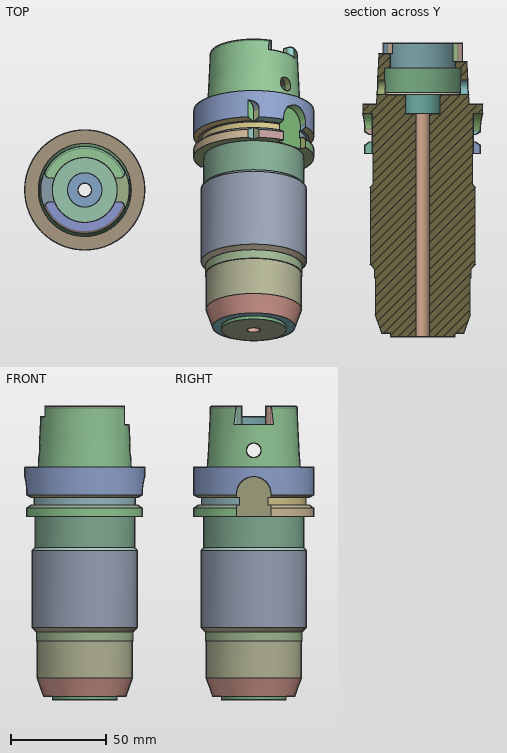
import cadquery as cq
import math


SHANK_LENGTH = 32.0
SHANK_BASE_RADIUS = 24.4
TAPER_PER_LENGTH = 0.05
SHANK_TOP_RADIUS = SHANK_BASE_RADIUS - TAPER_PER_LENGTH * SHANK_LENGTH
RIM_FILLET = 1.0

MOUTH_RADIUS = 17.0
MOUTH_DEPTH = 13.2
CLAMP_RADIUS = 20.0
CLAMP_FLOOR_Z = 5.0
CLAMP_FLOOR_CHAMFER = 1.0
COUNTERBORE_RADIUS = 9.0
COUNTERBORE_DEPTH = 10.0
THROUGH_HOLE_RADIUS = 3.5
CROSS_HOLE_RADIUS = 3.75
CROSS_HOLE_Z = 8.8

DRIVE_SLOT_WIDTH = 12.5
DRIVE_SLOT_CORNER_RADIUS = 2.5
TOOTH_END_X = 20.85
SHALLOW_SLOT_DEPTH = 5.6
DEEP_SLOT_DEPTH = 9.8

FLANGE_RADIUS = 31.5
FLANGE_BOTTOM_Z = -26.0
GROOVE_RADIUS = 27.5
GROOVE_SHOULDER_RADIUS = 29.0
GROOVE_TOP_Z = -16.0
GROOVE_TOP_FLARE = 1.4
GROOVE_BOTTOM_Z = -19.75
GROOVE_BOTTOM_FLARE = 1.8

KEYWAY_FLOOR = 26.5
NARROW_KEYWAY_WIDTH = 16.2
WIDE_KEYWAY_WIDTH = 18.0
KEYWAY_TOP_Z = -5.0

NOTCH_CORNER = 20.1
NOTCH_END_RADIUS = 4.8
NOTCH_TOP_Z = -5.2

BODY_BOTTOM_Z = -122.0
NECK_RADIUS = 26.25
NECK_BOTTOM_Z = -42.2
SLEEVE_RADIUS = 27.6
SLEEVE_TOP_Z = -43.6
SLEEVE_BOTTOM_Z = -84.1
COLLAR_RADIUS = 25.4
COLLAR_TOP_Z = -86.4
COLLAR_BOTTOM_Z = -91.1
NOSE_RADIUS = 25.0
NOSE_CONE_TOP_Z = -110.6
NOSE_END_RADIUS = 21.6
NOSE_END_Z = -120.2
END_BOSS_RADIUS = 17.0


def turned_body():
    """Revolve the outer outline of the holder about Z."""
    outline = [
        (0, BODY_BOTTOM_Z),
        (END_BOSS_RADIUS, BODY_BOTTOM_Z),
        (END_BOSS_RADIUS, NOSE_END_Z),
        (NOSE_END_RADIUS, NOSE_END_Z),
        (NOSE_RADIUS, NOSE_CONE_TOP_Z),
        (NOSE_RADIUS, COLLAR_BOTTOM_Z),
        (COLLAR_RADIUS, COLLAR_BOTTOM_Z),
        (COLLAR_RADIUS, COLLAR_TOP_Z),
        (SLEEVE_RADIUS, SLEEVE_BOTTOM_Z),
        (SLEEVE_RADIUS, SLEEVE_TOP_Z),
        (NECK_RADIUS, NECK_BOTTOM_Z),
        (NECK_RADIUS, FLANGE_BOTTOM_Z),
        (FLANGE_RADIUS, FLANGE_BOTTOM_Z),
        (FLANGE_RADIUS, GROOVE_BOTTOM_Z - GROOVE_BOTTOM_FLARE),
        (GROOVE_SHOULDER_RADIUS, GROOVE_BOTTOM_Z),
        (GROOVE_RADIUS, GROOVE_BOTTOM_Z),
        (GROOVE_RADIUS, GROOVE_TOP_Z),
        (GROOVE_SHOULDER_RADIUS, GROOVE_TOP_Z),
        (FLANGE_RADIUS, GROOVE_TOP_Z + GROOVE_TOP_FLARE),
        (FLANGE_RADIUS, 0),
        (SHANK_BASE_RADIUS, 0),
        (SHANK_TOP_RADIUS, SHANK_LENGTH),
        (0, SHANK_LENGTH),
    ]
    body = cq.Workplane("XZ").polyline(outline).close().revolve(360, (0, 0, 0), (0, 1, 0))
    return body.faces(">Z").edges().fillet(RIM_FILLET)


def cylinder(radius, bottom_z, top_z):
    """Upright cylinder on the axis between two heights."""
    return cq.Workplane("XY").workplane(offset=bottom_z).circle(radius).extrude(top_z - bottom_z)


def shank_bore():
    """Stepped bore: mouth, wider chamfered clamping chamber, counterbore and through hole."""
    mouth = cylinder(MOUTH_RADIUS, CLAMP_FLOOR_Z, SHANK_LENGTH)
    chamber = cylinder(CLAMP_RADIUS, CLAMP_FLOOR_Z, SHANK_LENGTH - MOUTH_DEPTH)
    chamber = chamber.faces("<Z").edges().chamfer(CLAMP_FLOOR_CHAMFER)
    counterbore = cylinder(COUNTERBORE_RADIUS, CLAMP_FLOOR_Z - COUNTERBORE_DEPTH, CLAMP_FLOOR_Z)
    through_hole = cylinder(THROUGH_HOLE_RADIUS, BODY_BOTTOM_Z, SHANK_LENGTH)
    return mouth.union(chamber).union(counterbore).union(through_hole)


def cross_hole():
    """Hole along X through both walls of the shank."""
    hole = cq.Workplane("YZ").center(0, CROSS_HOLE_Z).circle(CROSS_HOLE_RADIUS)
    return hole.extrude(FLANGE_RADIUS, both=True)


def drive_slot(side, depth):
    """Slot on the +X (side = 1) or -X (side = -1) side, with rounded corners out to flat tooth ends."""
    corner = DRIVE_SLOT_CORNER_RADIUS
    half_width = DRIVE_SLOT_WIDTH / 2
    centre_x = TOOTH_END_X - corner
    centre_y = half_width + corner
    arc_offset = corner * math.sqrt(0.5)
    arc_middle_x = centre_x + arc_offset
    arc_middle_y = centre_y - arc_offset
    slot = (
        cq.Workplane("XY")
        .workplane(offset=SHANK_LENGTH - depth)
        .moveTo(0, -half_width)
        .lineTo(centre_x, -half_width)
        .threePointArc((arc_middle_x, -arc_middle_y), (TOOTH_END_X, -centre_y))
        .lineTo(TOOTH_END_X, -SHANK_BASE_RADIUS)
        .lineTo(SHANK_BASE_RADIUS, -SHANK_BASE_RADIUS)
        .lineTo(SHANK_BASE_RADIUS, SHANK_BASE_RADIUS)
        .lineTo(TOOTH_END_X, SHANK_BASE_RADIUS)
        .lineTo(TOOTH_END_X, centre_y)
        .threePointArc((arc_middle_x, arc_middle_y), (centre_x, half_width))
        .lineTo(0, half_width)
        .close()
        .extrude(depth)
    )
    return slot if side > 0 else slot.mirror("YZ")


def keyway(side, width):
    """Round-topped, flat-floored keyway open to the flange underside."""
    radius = width / 2
    centre_z = KEYWAY_TOP_Z - radius
    profile = (
        cq.Workplane("YZ")
        .workplane(offset=side * KEYWAY_FLOOR)
        .moveTo(-radius, FLANGE_BOTTOM_Z)
        .lineTo(-radius, centre_z)
        .threePointArc((0, KEYWAY_TOP_Z), (radius, centre_z))
        .lineTo(radius, FLANGE_BOTTOM_Z)
        .close()
    )
    return profile.extrude(side * (FLANGE_RADIUS - KEYWAY_FLOOR))


def orientation_notch():
    """Right-angled notch in the (-X, +Y) rim, rounded off at its upper end."""
    centre_y = NOTCH_CORNER + NOTCH_END_RADIUS
    centre_z = NOTCH_TOP_Z - NOTCH_END_RADIUS
    arc_offset = NOTCH_END_RADIUS * math.sqrt(0.5)
    profile = (
        cq.Workplane("YZ")
        .workplane(offset=-NOTCH_CORNER)
        .moveTo(NOTCH_CORNER, FLANGE_BOTTOM_Z)
        .lineTo(NOTCH_CORNER, centre_z)
        .threePointArc((centre_y - arc_offset, centre_z + arc_offset), (centre_y, NOTCH_TOP_Z))
        .lineTo(FLANGE_RADIUS, NOTCH_TOP_Z)
        .lineTo(FLANGE_RADIUS, FLANGE_BOTTOM_Z)
        .close()
    )
    return profile.extrude(NOTCH_CORNER - FLANGE_RADIUS)


result = turned_body()
result = result.cut(shank_bore())
result = result.cut(cross_hole())
result = result.cut(drive_slot(-1, SHALLOW_SLOT_DEPTH))
result = result.cut(drive_slot(1, DEEP_SLOT_DEPTH))
result = result.cut(keyway(-1, NARROW_KEYWAY_WIDTH))
result = result.cut(keyway(1, WIDE_KEYWAY_WIDTH))
result = result.cut(orientation_notch())